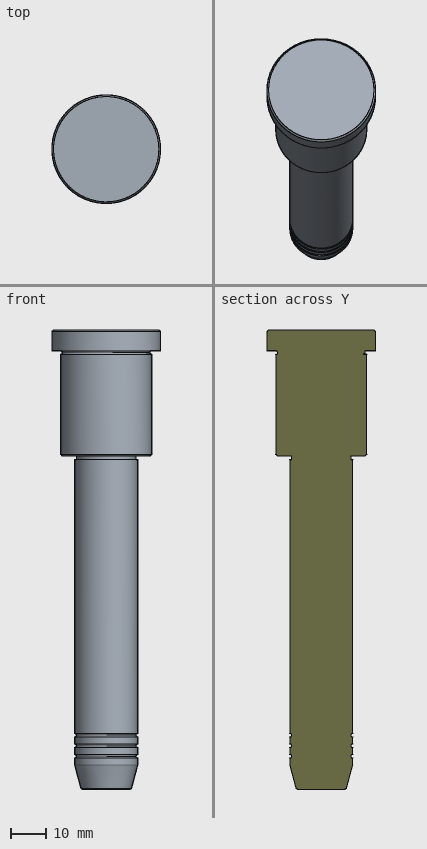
import cadquery as cq
import math

total_length = 131.0
head_height = 6.0
collar_length = 30.0

head_radius = 31.0 / 2
collar_radius = 26.0 / 2
shank_radius = 18.0 / 2

head_chamfer = 0.5
collar_chamfer = 0.5
tip_chamfer = 0.4

undercut_depth = 0.5
undercut_width = 1.0

groove_radius = 0.5
shank_groove_count = 3
shank_groove_pitch = 3.0
first_shank_groove_height = 9.5

tip_length = 7.0
tip_half_angle = 15.0

head_bottom = total_length - head_height
collar_bottom = head_bottom - collar_length


def revolve_profile(points):
    """Revolved solid from the corners of a closed (radius, height) outline."""
    return cq.Workplane("XZ").polyline(points).close().revolve(360, (0, 0, 0), (0, 1, 0))


def cylinder(radius, bottom, top):
    """Solid cylinder on the Z axis between two heights."""
    return revolve_profile([(0, bottom), (radius, bottom), (radius, top), (0, top)])


def round_groove(radius, height):
    """Ring of round section whose inner half cuts a groove into a cylinder of the given radius."""
    section = cq.Workplane("XZ").center(-radius, height).circle(groove_radius)
    return section.revolve(360, (radius, 0, 0), (radius, 1, 0))


def make_head():
    head = cylinder(head_radius, head_bottom, total_length)
    return head.faces(">Z").edges().chamfer(head_chamfer)


def make_collar():
    collar = cylinder(collar_radius, collar_bottom, head_bottom)
    collar = collar.faces("<Z").edges().chamfer(collar_chamfer)
    return collar.cut(round_groove(collar_radius, head_bottom - groove_radius))


def make_shank():
    undercut_bottom = collar_bottom - undercut_width
    neck = cylinder(shank_radius - undercut_depth, undercut_bottom, collar_bottom)
    shank = cylinder(shank_radius, tip_length, undercut_bottom).union(neck)
    for index in range(shank_groove_count):
        height = first_shank_groove_height + index * shank_groove_pitch
        shank = shank.cut(round_groove(shank_radius, height))
    return shank


def make_tip():
    end_radius = shank_radius - tip_length * math.tan(math.radians(tip_half_angle))
    tip = revolve_profile([(0, 0), (end_radius, 0), (shank_radius, tip_length), (0, tip_length)])
    return tip.faces("<Z").edges().chamfer(tip_chamfer)


result = make_head().union(make_collar()).union(make_shank()).union(make_tip())